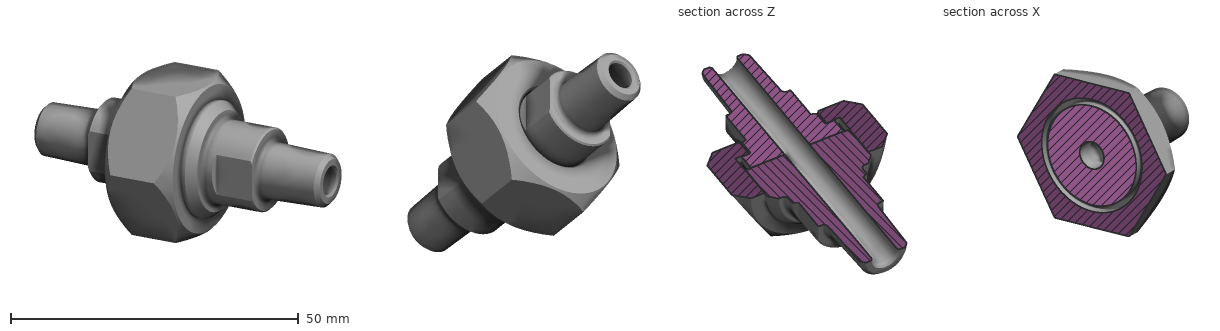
import cadquery as cq
import math

TOTAL_LENGTH = 56.5
BORE_DIA = 5.0
BORE_CHAMFER = 0.35

TIP_DIA = 9.5
ROOT_DIA = 10.1
TIP_CHAMFER = 0.8
SHOULDER_X = 12.05
FILLET_RADIUS = 0.85

BARREL_DIA = 15.0
BARREL_CHAMFER = 0.3
FLAT_WIDTH = 13.05
FLAT_LENGTH = 7.0
FLAT_RUNOUT = 0.4

NUT_START = 19.0
NUT_LENGTH = 13.45
NUT_ACROSS_FLATS = 27.0
NUT_FACE_DIA = 26.4
NUT_HOLE_DIA = 15.5
NUT_HOLE_CHAMFER = 0.4
NUT_LIP = 3.4
NUT_END = NUT_START + NUT_LENGTH

FLANGE_DIA = 18.65
FLANGE_LENGTH = 3.4
FLANGE_START = NUT_START + NUT_LIP
JOINT_X = FLANGE_START + FLANGE_LENGTH

COLLAR_DIA = 20.9
COLLAR_END_DIA = 18.0
COLLAR_CONE_START = 33.35
COLLAR_END = 34.9

BARREL_RADIUS = BARREL_DIA / 2


def revolve_about_x(profile):
    """Close an outline in the XY plane and turn it about the X axis."""
    return profile.close().revolve(360, (0, 0, 0), (1, 0, 0))


def concave_middle(center_x, center_radius):
    """Middle point of a fillet arc lying inward of its center and toward +X."""
    offset = FILLET_RADIUS / math.sqrt(2)
    return center_x + offset, center_radius - offset


def pipe_end_outline():
    """Start an outline at the pipe tip and run it up to the barrel."""
    root_x = SHOULDER_X - FILLET_RADIUS
    fillet_top = ROOT_DIA / 2 + FILLET_RADIUS
    return (
        cq.Workplane("XY")
        .moveTo(0, 0)
        .lineTo(0, TIP_DIA / 2 - TIP_CHAMFER)
        .lineTo(TIP_CHAMFER, TIP_DIA / 2)
        .lineTo(root_x, ROOT_DIA / 2)
        .threePointArc(concave_middle(root_x, fillet_top), (SHOULDER_X, fillet_top))
        .lineTo(SHOULDER_X, BARREL_RADIUS - BARREL_CHAMFER)
        .lineTo(SHOULDER_X + BARREL_CHAMFER, BARREL_RADIUS)
    )


def cut_wrench_flats(tail):
    """Cut two opposite flats into the barrel, each ending in a steep sloping wall."""
    flat_end = SHOULDER_X + FLAT_LENGTH
    cutter = (
        cq.Workplane("XY")
        .moveTo(SHOULDER_X, FLAT_WIDTH / 2)
        .lineTo(flat_end, FLAT_WIDTH / 2)
        .lineTo(flat_end + FLAT_RUNOUT, BARREL_RADIUS)
        .lineTo(SHOULDER_X, BARREL_RADIUS)
        .close()
        .extrude(BARREL_RADIUS, both=True)
    )
    return tail.cut(cutter).cut(cutter.mirror("XZ"))


def cut_bore(tail):
    """Drill the flow passage through a tail and chamfer its mouth at the tip."""
    bore_radius = BORE_DIA / 2
    drill = revolve_about_x(
        cq.Workplane("XY")
        .moveTo(0, 0)
        .lineTo(0, bore_radius + BORE_CHAMFER)
        .lineTo(BORE_CHAMFER, bore_radius)
        .lineTo(TOTAL_LENGTH, bore_radius)
        .lineTo(TOTAL_LENGTH, 0)
    )
    return tail.cut(drill)


def make_plain_tail():
    """Tail at the low X end, with the retained flange."""
    outline = (
        pipe_end_outline()
        .lineTo(FLANGE_START, BARREL_RADIUS)
        .lineTo(FLANGE_START, FLANGE_DIA / 2)
        .lineTo(JOINT_X, FLANGE_DIA / 2)
        .lineTo(JOINT_X, 0)
    )
    return cut_bore(cut_wrench_flats(revolve_about_x(outline)))


def make_threaded_tail():
    """Tail at the high X end, drawn from its own tip and then turned end for end."""
    collar_x = TOTAL_LENGTH - COLLAR_END
    cone_x = TOTAL_LENGTH - COLLAR_CONE_START
    joint_x = TOTAL_LENGTH - JOINT_X
    barrel_end = collar_x - FILLET_RADIUS
    fillet_top = BARREL_RADIUS + FILLET_RADIUS
    outline = (
        pipe_end_outline()
        .lineTo(barrel_end, BARREL_RADIUS)
        .threePointArc(concave_middle(barrel_end, fillet_top), (collar_x, fillet_top))
        .lineTo(collar_x, COLLAR_END_DIA / 2)
        .lineTo(cone_x, COLLAR_DIA / 2)
        .lineTo(joint_x, COLLAR_DIA / 2)
        .lineTo(joint_x, 0)
    )
    tail = cut_bore(cut_wrench_flats(revolve_about_x(outline)))
    return tail.rotate((0, 0, 0), (0, 0, 1), 180).translate((TOTAL_LENGTH, 0, 0))


def make_nut():
    """Hexagonal nut with 45 degree corner chamfers and a stepped hole."""
    corner_radius = NUT_ACROSS_FLATS / math.sqrt(3)
    corner_chamfer = corner_radius - NUT_FACE_DIA / 2
    hexagon = (
        cq.Workplane("YZ", origin=(NUT_START, 0, 0))
        .polygon(6, 2 * corner_radius)
        .extrude(NUT_LENGTH)
    )
    envelope = (
        cq.Workplane("YZ", origin=(NUT_START, 0, 0))
        .circle(corner_radius)
        .extrude(NUT_LENGTH)
        .edges()
        .chamfer(corner_chamfer)
    )
    hole_radius = NUT_HOLE_DIA / 2
    hole = revolve_about_x(
        cq.Workplane("XY")
        .moveTo(NUT_START, 0)
        .lineTo(NUT_START, hole_radius + NUT_HOLE_CHAMFER)
        .lineTo(NUT_START + NUT_HOLE_CHAMFER, hole_radius)
        .lineTo(FLANGE_START, hole_radius)
        .lineTo(FLANGE_START, COLLAR_DIA / 2)
        .lineTo(NUT_END, COLLAR_DIA / 2)
        .lineTo(NUT_END, 0)
    )
    return hexagon.intersect(envelope).cut(hole)


plain_tail = make_plain_tail()
threaded_tail = make_threaded_tail()
nut = make_nut()

result = cq.Compound.makeCompound([plain_tail.val(), threaded_tail.val(), nut.val()])